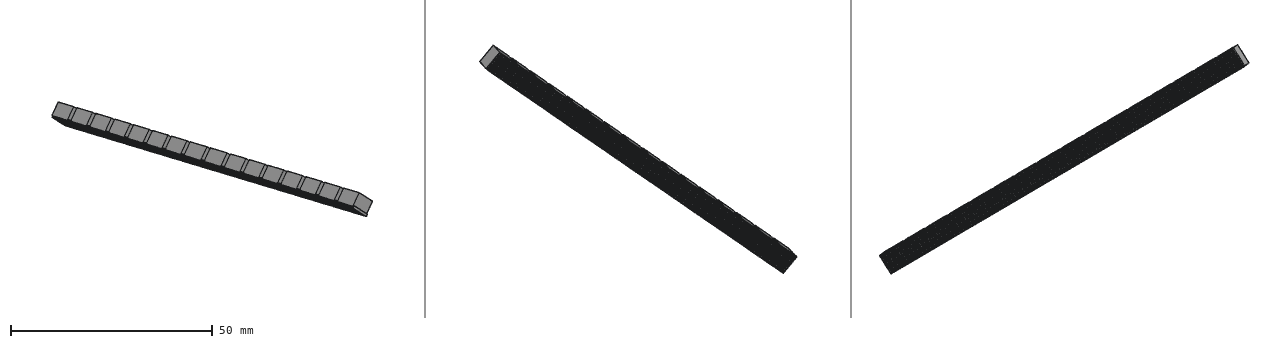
import cadquery as cq

length = 114.1
width = 5.4
height = 4.2
tilt_angle = 34.0

strip_thickness = 0.7

block_count = 16
block_gap = 1.3
middle_extra = 0.5
end_lip = 0.3

tooth_count = 166
tooth_depth = 0.5

middle_blocks = (block_count // 2 - 1, block_count // 2)
solid_length = length - end_lip - (block_count - 1) * block_gap
block_length = (solid_length - len(middle_blocks) * middle_extra) / block_count
tooth_pitch = length / tooth_count


def cut_block_gaps(bar):
    """Cut the gaps between blocks, and the end lip, down to the strip."""
    x = 0.0
    for index in range(block_count):
        x += block_length
        if index in middle_blocks:
            x += middle_extra
        is_last = index == block_count - 1
        gap = end_lip if is_last else block_gap
        cutter = cq.Workplane("XY").box(gap, width, height, centered=False)
        bar = bar.cut(cutter.translate((x, 0, strip_thickness)))
        x += gap
    return bar


def make_toothed_bar():
    """Extrude the bar from a side profile with square teeth along its bottom edge."""
    points = [(length, height), (0, height), (0, tooth_depth)]
    for index in range(tooth_count):
        tooth_start = (index + 0.5) * tooth_pitch
        tooth_end = (index + 1) * tooth_pitch
        points += [(tooth_start, tooth_depth), (tooth_start, 0), (tooth_end, 0)]
        if index < tooth_count - 1:
            points.append((tooth_end, tooth_depth))
    profile = cq.Workplane("XZ", origin=(0, width, 0)).polyline(points).close()
    return profile.extrude(width)


bar = cut_block_gaps(make_toothed_bar())
centred_bar = bar.translate((-length / 2, -width / 2, -height / 2))
result = centred_bar.rotate((0, 0, 0), (1, 0, 0), -tilt_angle)